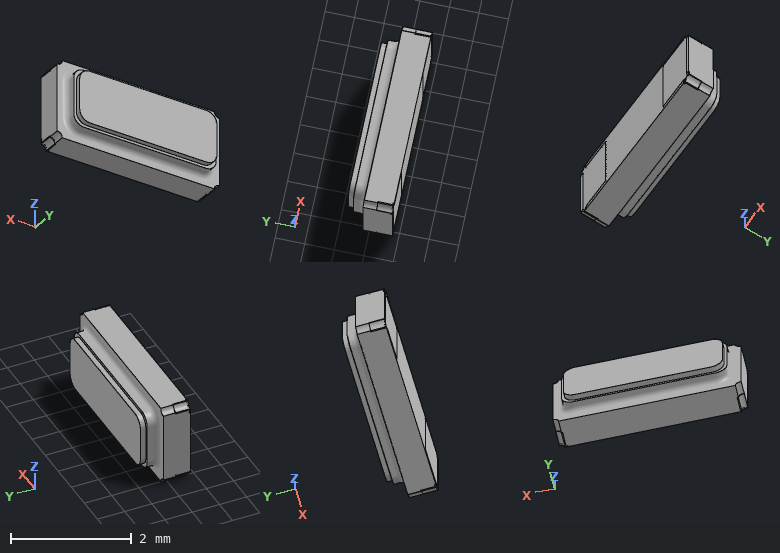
import cadquery as cq

LENGTH = 3.2
HEIGHT = 1.5
BASE_DEPTH = 0.5
LEFT, RIGHT = -LENGTH / 2, LENGTH / 2
BOTTOM, TOP = -HEIGHT / 2, HEIGHT / 2

CASTELLATION_RADIUS = 0.1

RIM_DEPTH = 0.2
RIM_INSET = 0.2
CAP_DEPTH = 0.1
CAP_INSET = 0.25
LID_CORNER_RADIUS = 0.2
RIM_FILLET = 0.1

METAL_THICKNESS = 0.02
LINING_DEPTH = 0.27
LINING_RADIUS = CASTELLATION_RADIUS + METAL_THICKNESS
PAD_WIDTH = 0.75
PAD_MARGIN = 0.1

LEFT_STRIP = 0.07
LEFT_STRIP_TOP = 0.175
LEFT_TOP_TAB = 0.15
LEFT_STRIP_BEVEL = 0.058

RIGHT_STRIP = 0.058
RIGHT_STRIP_BOTTOM = 0.192
RIGHT_TOP_MARGIN = 0.05
RIGHT_COLLAR_RADIUS = 0.15


def front_sketch(y):
    """XZ plane at depth y; a negative extrusion runs toward +Y."""
    return cq.Workplane("XZ", origin=(0, y, 0))


def corner_rod(x, z, radius, depth):
    """Cylinder along Y, centred on an upright corner of the base."""
    return front_sketch(0).center(x, z).circle(radius).extrude(-depth)


def base_block():
    """Rectangular base with a castellation at each corner."""
    block = front_sketch(0).rect(LENGTH, HEIGHT).extrude(-BASE_DEPTH)
    for x in (LEFT, RIGHT):
        for z in (BOTTOM, TOP):
            block = block.cut(corner_rod(x, z, CASTELLATION_RADIUS, BASE_DEPTH))
    return block


def lid_step(y, inset, depth):
    """Round-cornered plate, inset evenly from the base outline."""
    plate = front_sketch(y).rect(LENGTH - 2 * inset, HEIGHT - 2 * inset).extrude(-depth)
    return plate.edges("|Y").fillet(LID_CORNER_RADIUS)


def package():
    """Base and lid in one piece, before the terminals are let in."""
    rim = lid_step(BASE_DEPTH, RIM_INSET, RIM_DEPTH)
    cap = lid_step(BASE_DEPTH + RIM_DEPTH, CAP_INSET, CAP_DEPTH)
    body = base_block().union(rim)
    half_x = (LENGTH - RIM_INSET) / 2
    half_z = (HEIGHT - RIM_INSET) / 2
    half_gap = RIM_DEPTH / 4
    rim_foot = cq.selectors.BoxSelector(
        (-half_x, BASE_DEPTH - half_gap, -half_z),
        (half_x, BASE_DEPTH + half_gap, half_z),
        boundingbox=True,
    )
    return body.edges(rim_foot).fillet(RIM_FILLET).union(cap)


def terminal(x_end, pad):
    """Add a lining to both castellations at one end, then trim to the base."""
    metal = pad
    for z in (BOTTOM, TOP):
        metal = metal.union(corner_rod(x_end, z, LINING_RADIUS, LINING_DEPTH))
    return metal.intersect(base_block())


def left_terminal():
    """Left pad: tab at the upper corner, bevels at the lower one."""
    inner = LEFT + PAD_WIDTH
    outline = [
        (inner, TOP - PAD_MARGIN),
        (LEFT + LEFT_TOP_TAB, TOP - PAD_MARGIN),
        (LEFT + LEFT_TOP_TAB, TOP),
        (LEFT, TOP),
        (LEFT, TOP - LEFT_STRIP_TOP),
        (LEFT + LEFT_STRIP, TOP - LEFT_STRIP_TOP),
        (LEFT + LEFT_STRIP, BOTTOM + LEFT_STRIP_BEVEL + LEFT_STRIP),
        (LEFT, BOTTOM + LEFT_STRIP_BEVEL),
        (LEFT, BOTTOM),
        (LEFT + CASTELLATION_RADIUS, BOTTOM),
        (LEFT + CASTELLATION_RADIUS + PAD_MARGIN, BOTTOM + PAD_MARGIN),
        (inner, BOTTOM + PAD_MARGIN),
    ]
    pad = front_sketch(0).polyline(outline).close().extrude(-METAL_THICKNESS)
    return terminal(LEFT, pad)


def right_terminal():
    """Right pad: bevel at the upper corner, round collar at the lower one."""
    inner = RIGHT - PAD_WIDTH
    outline = [
        (inner, TOP - RIGHT_TOP_MARGIN),
        (RIGHT - CASTELLATION_RADIUS - RIGHT_TOP_MARGIN, TOP - RIGHT_TOP_MARGIN),
        (RIGHT - CASTELLATION_RADIUS, TOP),
        (RIGHT - RIGHT_STRIP, TOP),
        (RIGHT - RIGHT_STRIP, BOTTOM + RIGHT_STRIP_BOTTOM),
        (RIGHT, BOTTOM + RIGHT_STRIP_BOTTOM),
        (RIGHT, BOTTOM + PAD_MARGIN),
        (inner, BOTTOM + PAD_MARGIN),
    ]
    pad = front_sketch(0).polyline(outline).close().extrude(-METAL_THICKNESS)
    collar = corner_rod(RIGHT, BOTTOM, RIGHT_COLLAR_RADIUS, METAL_THICKNESS)
    return terminal(RIGHT, pad.union(collar))


left_pad = left_terminal().solids()
right_pad = right_terminal().solids()
housing = package().cut(left_pad).cut(right_pad).solids()

result = cq.Compound.makeCompound([housing.val(), left_pad.val(), right_pad.val()])